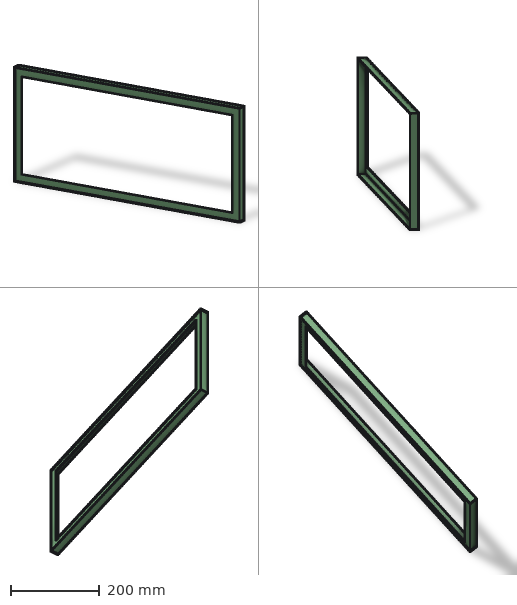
import cadquery as cq

length = 600.0
height = 270.0
leg = length / 30
wall = leg / 10


def block(width, tall, front, back):
    """Box centred on X and Z, reaching from front to back along Y."""
    return cq.Workplane("XY").box(width, back - front, tall).translate((0, (front + back) / 2, 0))


front_face = -leg / 2
back_face = leg / 2

envelope = block(length, height, front_face, back_face)
opening = block(length - 2 * leg, height - 2 * leg, front_face, back_face)
rear_recess = block(length - 2 * wall, height - 2 * wall, front_face + wall, back_face)

result = envelope.cut(opening).cut(rear_recess)